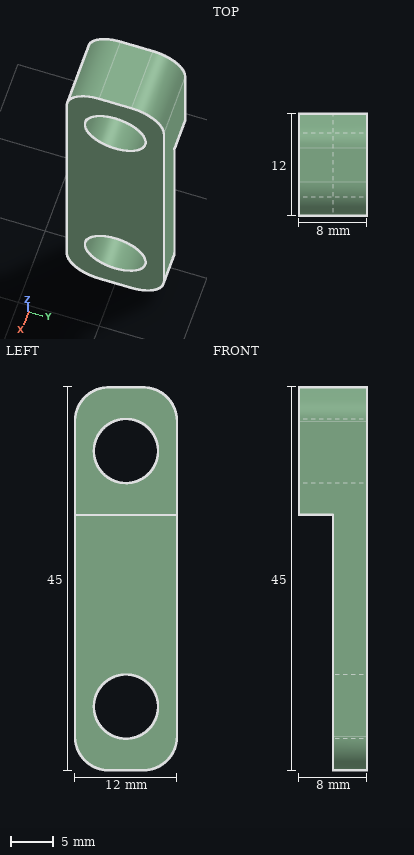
import cadquery as cq

length = 45.0
width = 12.0
head_thickness = 8.0
arm_thickness = head_thickness / 2
head_height = length / 3
corner_radius = 4.0
hole_diameter = 7.5
hole_end_distance = length / 6


def stepped_bar():
    """Full-thickness head above a thinner arm, flush on the +X face."""
    arm = cq.Workplane("XY").box(arm_thickness, width, length, centered=(False, True, False))
    arm = arm.translate((head_thickness - arm_thickness, 0, 0))
    head = cq.Workplane("XY").box(head_thickness, width, head_height, centered=(False, True, False))
    head = head.translate((0, 0, length - head_height))
    return arm.union(head)


def round_end_corners(bar):
    """Round the corners at both ends, along the thickness."""
    for end in (">Z", "<Z"):
        bar = bar.faces(end).edges("|X").fillet(corner_radius)
    return bar


def pin_holes():
    """One through hole near each end."""
    centres = [(0, hole_end_distance), (0, length - hole_end_distance)]
    return (
        cq.Workplane("YZ")
        .pushPoints(centres)
        .circle(hole_diameter / 2)
        .extrude(head_thickness)
    )


result = round_end_corners(stepped_bar()).cut(pin_holes())